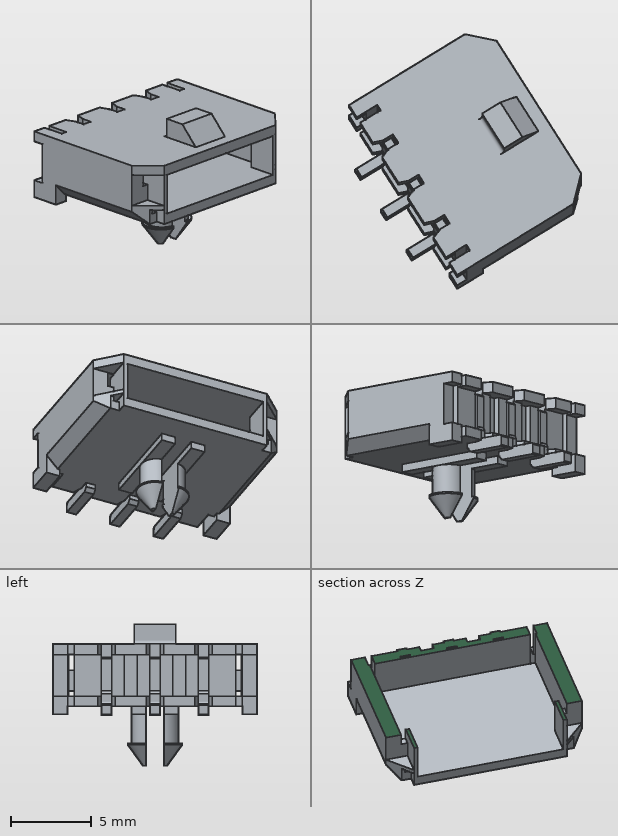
import cadquery as cq


BODY_LENGTH = 9.9
BODY_WIDTH = 12.65
BODY_HEIGHT = 3.87
CORNER_LENGTH = 1.44
CORNER_INSET = 1.39
BEVEL_HEIGHT = 0.81
BEVEL_INSET = 0.77
HALF_WIDTH = BODY_WIDTH / 2

FOOT_LENGTH = 1.88
FOOT_WIDTH = 0.91
FOOT_DROP = 0.49
CHANNEL_DEPTH = 0.68
CHANNEL_BOTTOM = 0.63
CHANNEL_TOP = BODY_HEIGHT - 0.67
SLOT_DEPTH = 1.49
SLOT_WIDTH = 0.4

SIDE_WALL = 1.0
GUIDE_THICKNESS = 0.25
WINDOW_BOTTOM = 1.21
WINDOW_TOP = BODY_HEIGHT - 0.63
CORNER_NOTCH_LENGTH = 0.63
CORNER_BLOCK_BOTTOM = 0.94
CORNER_BLOCK_TOP = 2.24
CORNER_BLOCK_LENGTH = 1.9

PIN_PITCH = 3.0
PIN_COUNT = 3
PIN_WIDTH = 0.63
PIN_REACH = 1.44
PIN_BOTTOM = -0.55
TAIL_TOP = 0.16
TAIL_CHAMFER = 0.1
TAIL_LOWER_CHAMFER = 0.06
LEG_TOP = 3.04
LEG_REAR = 0.55
LEG_STEP = 0.09
LEG_STEP_BOTTOM = 0.77
LEG_STEP_TOP = 0.97
LEG_TOP_CHAMFER = 0.09
LEG_FRONT_CHAMFER = 0.11
BEND_RADIUS = 0.14
HEEL_CHAMFER = 0.24

NOTCH_MOUTH = 1.09
NOTCH_TAPER = 0.63
NOTCH_DEPTH = 1.33
POCKET_WIDTH = 0.81
POCKET_DEPTH = 0.35

LATCH_WIDTH = 2.58
LATCH_HEIGHT = 1.21
LATCH_REAR = 6.57
LATCH_CREST = 7.9
LATCH_FRONT = 9.07
LATCH_FILLET = 0.23

PEG_GAP = 1.11
PEG_HALF_WIDTH = 1.47
PEG_X = 5.29
SHANK_RADIUS = 1.02
BARB_RADIUS = 1.16
BARB_OFFSET = 0.53
BARB_TOP = -2.28
BARB_RIM = 0.1
TIP_RADIUS = 0.22
TIP_Z = -3.68
RAIL_START = 2.16
RAIL_END = 8.2

SIDES = (-1, 1)
PIN_POSITIONS = [(i - (PIN_COUNT - 1) / 2) * PIN_PITCH for i in range(PIN_COUNT)]
POCKET_POSITIONS = [y + PIN_PITCH / 2 for y in PIN_POSITIONS[:-1]]


def block(x0, x1, y0, y1, z0, z1):
    """Box between two corners; the Y limits may come in either order."""
    size = (x1 - x0, abs(y1 - y0), z1 - z0)
    return cq.Workplane("XY").box(*size).translate(((x0 + x1) / 2, (y0 + y1) / 2, (z0 + z1) / 2))


def side_block(side, x0, x1, inset0, inset1, z0, z1):
    """Box placed by its distances inward from one outer side of the shroud."""
    return block(x0, x1, side * (HALF_WIDTH - inset0), side * (HALF_WIDTH - inset1), z0, z1)


def plan_prism():
    """Shroud outline with chamfered mating corners."""
    corner_x = BODY_LENGTH - CORNER_LENGTH
    corner_y = HALF_WIDTH - CORNER_INSET
    outline = [
        (0, -HALF_WIDTH), (corner_x, -HALF_WIDTH), (BODY_LENGTH, -corner_y),
        (BODY_LENGTH, corner_y), (corner_x, HALF_WIDTH), (0, HALF_WIDTH),
    ]
    return cq.Workplane("XY").polyline(outline).close().extrude(BODY_HEIGHT)


def bevel_cutter(side):
    """Wedge removed from a lower side edge in front of the foot."""
    outer = side * HALF_WIDTH
    wedge = [(outer, 0), (outer - side * BEVEL_INSET, 0), (outer, BEVEL_HEIGHT)]
    profile = cq.Workplane("YZ", origin=(FOOT_LENGTH, 0, 0)).polyline(wedge).close()
    return profile.extrude(BODY_LENGTH - FOOT_LENGTH)


def pin_notch(y):
    """Tapered slot through the full height that receives one pin."""
    mouth = NOTCH_MOUTH / 2
    half = PIN_WIDTH / 2
    outline = [
        (0, -mouth), (NOTCH_TAPER, -half), (NOTCH_DEPTH, -half),
        (NOTCH_DEPTH, half), (NOTCH_TAPER, half), (0, mouth),
    ]
    return cq.Workplane("XY", origin=(0, y, 0)).polyline(outline).close().extrude(BODY_HEIGHT)


def shroud():
    envelope = plan_prism()
    cavity_half = HALF_WIDTH - SIDE_WALL
    corner_x = BODY_LENGTH - CORNER_LENGTH
    body = envelope.cut(
        block(SLOT_DEPTH, BODY_LENGTH, -cavity_half, cavity_half, CHANNEL_BOTTOM, CHANNEL_TOP)
    )

    for side in SIDES:
        body = body.cut(bevel_cutter(side))
        corner_block = side_block(
            side, BODY_LENGTH - CORNER_BLOCK_LENGTH, BODY_LENGTH, SIDE_WALL, CORNER_INSET,
            CORNER_BLOCK_BOTTOM, CORNER_BLOCK_TOP,
        )
        guide = side_block(
            side, BODY_LENGTH - CORNER_BLOCK_LENGTH, BODY_LENGTH, CORNER_INSET,
            CORNER_INSET + GUIDE_THICKNESS, CHANNEL_BOTTOM, CHANNEL_TOP,
        )
        body = body.union(corner_block.intersect(envelope)).union(guide)
        body = body.cut(
            side_block(side, corner_x, BODY_LENGTH, 0, CORNER_INSET, WINDOW_BOTTOM, WINDOW_TOP)
        )
        body = body.cut(
            side_block(side, BODY_LENGTH - CORNER_NOTCH_LENGTH, BODY_LENGTH, 0, CORNER_INSET,
                       0, CORNER_BLOCK_BOTTOM)
        )
        body = body.union(side_block(side, 0, FOOT_LENGTH, 0, FOOT_WIDTH, -FOOT_DROP, CHANNEL_BOTTOM))
        body = body.cut(
            side_block(side, 0, SLOT_DEPTH, FOOT_WIDTH, FOOT_WIDTH + SLOT_WIDTH, 0, BODY_HEIGHT)
        )

    body = body.cut(block(0, CHANNEL_DEPTH, -HALF_WIDTH, HALF_WIDTH, CHANNEL_BOTTOM, CHANNEL_TOP))
    for y in PIN_POSITIONS:
        body = body.cut(pin_notch(y))
    for y in POCKET_POSITIONS:
        body = body.cut(
            block(CHANNEL_DEPTH, CHANNEL_DEPTH + POCKET_DEPTH, y - POCKET_WIDTH / 2,
                  y + POCKET_WIDTH / 2, CHANNEL_BOTTOM, CHANNEL_TOP)
        )
    return body


def pin(y):
    """Bent pin: a tail along -X and a leg standing in its notch."""
    step_rear = LEG_REAR - LEG_STEP
    profile = (
        cq.Workplane("XZ", origin=(0, y + PIN_WIDTH / 2, 0))
        .moveTo(-PIN_REACH, PIN_BOTTOM + TAIL_LOWER_CHAMFER)
        .lineTo(TAIL_LOWER_CHAMFER - PIN_REACH, PIN_BOTTOM)
        .lineTo(NOTCH_DEPTH - HEEL_CHAMFER, PIN_BOTTOM)
        .lineTo(NOTCH_DEPTH, PIN_BOTTOM + HEEL_CHAMFER)
        .lineTo(NOTCH_DEPTH, LEG_TOP - LEG_FRONT_CHAMFER)
        .lineTo(NOTCH_DEPTH - LEG_FRONT_CHAMFER, LEG_TOP)
        .lineTo(LEG_REAR + LEG_TOP_CHAMFER, LEG_TOP)
        .lineTo(LEG_REAR, LEG_TOP - LEG_TOP_CHAMFER)
        .lineTo(LEG_REAR, LEG_STEP_TOP)
        .lineTo(step_rear, LEG_STEP_BOTTOM)
        .lineTo(step_rear, TAIL_TOP + BEND_RADIUS)
        .radiusArc((step_rear - BEND_RADIUS, TAIL_TOP), BEND_RADIUS)
        .lineTo(TAIL_CHAMFER - PIN_REACH, TAIL_TOP)
        .lineTo(-PIN_REACH, TAIL_TOP - TAIL_CHAMFER)
        .close()
    )
    return profile.extrude(PIN_WIDTH)


def latch():
    """Ramp with an upright rear face that blends into the top of the shroud."""
    crest = BODY_HEIGHT + LATCH_HEIGHT
    profile = (
        cq.Workplane("XZ", origin=(0, LATCH_WIDTH / 2, 0))
        .moveTo(LATCH_REAR - LATCH_FILLET, BODY_HEIGHT)
        .radiusArc((LATCH_REAR, BODY_HEIGHT + LATCH_FILLET), -LATCH_FILLET)
        .lineTo(LATCH_REAR, crest)
        .lineTo(LATCH_CREST, crest)
        .lineTo(LATCH_FRONT, BODY_HEIGHT)
        .close()
    )
    return profile.extrude(LATCH_WIDTH)


def peg_half(side):
    """One half of the split peg with its rail, shank and conical barb."""
    shank_offset = PEG_HALF_WIDTH - SHANK_RADIUS
    shank = (
        cq.Workplane("XY", origin=(PEG_X, side * shank_offset, BARB_TOP))
        .circle(SHANK_RADIUS)
        .extrude(-BARB_TOP)
    )
    barb_outline = [
        (0, BARB_TOP), (BARB_RADIUS, BARB_TOP), (BARB_RADIUS, BARB_TOP - BARB_RIM),
        (TIP_RADIUS, TIP_Z), (0, TIP_Z),
    ]
    barb = cq.Workplane("XZ").polyline(barb_outline).close().revolve(360, (0, 0), (0, 1))
    barb = barb.translate((PEG_X, side * BARB_OFFSET, 0))
    keep = block(0, BODY_LENGTH, side * PEG_GAP / 2, side * HALF_WIDTH, TIP_Z, 0)
    rail = block(RAIL_START, RAIL_END, side * PEG_GAP / 2, side * PEG_HALF_WIDTH, -FOOT_DROP, 0)
    return shank.union(barb).intersect(keep).union(rail)


result = shroud().union(latch())
for pin_y in PIN_POSITIONS:
    result = result.union(pin(pin_y))
for peg_side in SIDES:
    result = result.union(peg_half(peg_side))